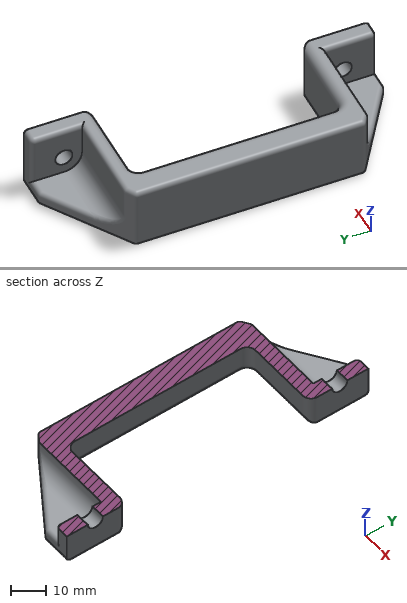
import cadquery as cq

depth = 37.0
length = 107.5
height = 20.5

grip_thickness = 9.0
leg_thickness = 5.35
opening_length = 65.0
inner_half = opening_length / 2
leg_outer = inner_half + leg_thickness

foot_half = length / 2
foot_edge_depth = 10.0
foot_edge_x = depth - foot_edge_depth
grip_face_half = 35.75
plate_thickness = 5.0
floor_thickness = 4.6
floor_to_leg_radius = 5.6

hole_diameter = 5.3
hole_spacing = 87.0

hand_radius = 3.0
edge_radius = 1.5

tolerance = 0.01


def make_blank():
    """Outline of grip, legs and tapered feet, extruded to full height."""
    outline = [
        (0, -grip_face_half),
        (foot_edge_x, -foot_half),
        (depth, -foot_half),
        (depth, -inner_half),
        (grip_thickness, -inner_half),
        (grip_thickness, inner_half),
        (depth, inner_half),
        (depth, foot_half),
        (foot_edge_x, foot_half),
        (0, grip_face_half),
    ]
    return cq.Workplane("XY").polyline(outline).close().extrude(height)


def make_pocket(side):
    """Open pocket between leg and foot plate; side is +1 or -1 along Y."""
    pocket_depth = depth - plate_thickness
    pocket_width = foot_half - leg_outer
    pocket = (
        cq.Workplane("XY")
        .box(pocket_depth, pocket_width, height, centered=(False, True, False))
        .translate((0, side * (leg_outer + pocket_width / 2), floor_thickness))
    )
    root_edge = cq.selectors.NearestToPointSelector((pocket_depth / 2, side * leg_outer, floor_thickness))
    return pocket.edges(root_edge).fillet(floor_to_leg_radius)


def make_hole(side):
    """Screw hole along X through one foot plate."""
    return (
        cq.Workplane("YZ", origin=(depth - plate_thickness, 0, 0))
        .center(side * hole_spacing / 2, height / 2)
        .circle(hole_diameter / 2)
        .extrude(plate_thickness)
    )


def outline_half(x):
    """Half length of the outer outline at depth x: tapered, then straight."""
    taper = min(x / foot_edge_x, 1.0)
    return grip_face_half + taper * (foot_half - grip_face_half)


def is_hand_edge(edge):
    """True for edges around the hand opening, including the free corners of the legs."""
    box = edge.BoundingBox()
    in_opening = max(abs(box.ymin), abs(box.ymax)) < inner_half + tolerance
    behind_grip = box.xmin > grip_thickness - tolerance
    across_end = box.ylen > tolerance and box.xmin > depth - tolerance
    return in_opening and behind_grip and not across_end


def is_outer_edge(edge):
    """True for edges of the outer outline and pocket rims, leaving the mounting face sharp."""
    if is_hand_edge(edge) or edge.BoundingBox().xmin > depth - tolerance:
        return False
    center = edge.Center()
    on_flat = min(center.z, height - center.z) < tolerance
    on_outline = abs(center.y) > outline_half(center.x) - tolerance
    on_grip_face = center.x < tolerance
    return on_flat or on_outline or on_grip_face


def round_edges(body, is_chosen, radius):
    """Fillet every edge of the body accepted by the given test."""
    solid = body.val()
    chosen = [edge for edge in solid.Edges() if is_chosen(edge)]
    return body.newObject([solid.fillet(radius, chosen)])


body = make_blank()
for side in (-1, 1):
    body = body.cut(make_pocket(side))
body = round_edges(body, is_hand_edge, hand_radius)
body = round_edges(body, is_outer_edge, edge_radius)
for side in (-1, 1):
    body = body.cut(make_hole(side))

result = body